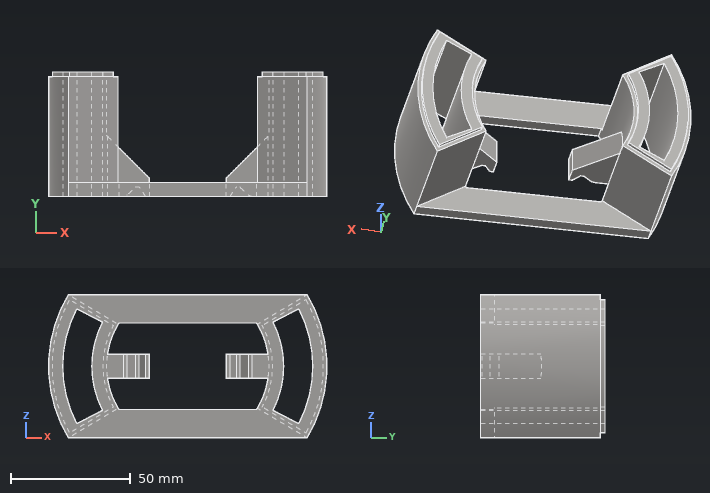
import cadquery as cq
import math

plate_height = 59.72
plate_thickness = 6.0
tower_length = 50.0
lip_length = 2.0
lip_inset = 1.5

outer_radius = 58.0
outer_wall = 6.0
slot_outer_radius = outer_radius - outer_wall
slot_inner_radius = 40.0
opening_radius = 33.8

tower_half_angle = math.degrees(math.asin(plate_height / 2 / outer_radius))
slot_half_angle = 27.3

opening_height = 36.0

hook_width = 10.2
hook_tip_x = 16.0
hook_tip_depth = 7.75
hook_flat = 1.5
notch_tip_x = hook_tip_x + hook_flat
notch_floor_x = 20.2
notch_depth = 4.0
notch_edge_x = 25.3
notch_edge_depth = 0.6
hook_root_x = (opening_radius + slot_inner_radius) / 2


def extrude_along_y(sketch, start, length):
    """Extrude an XZ outline towards +Y from y = start."""
    return sketch.extrude(-length).translate((0, start, 0))


def sector(inner, outer, half_angle):
    """Ring sector on the +X side, symmetric about Z = 0, with radial ends."""
    angle = math.radians(half_angle)
    cos_a = math.cos(angle)
    sin_a = math.sin(angle)
    return (
        cq.Workplane("XZ")
        .moveTo(inner * cos_a, -inner * sin_a)
        .lineTo(outer * cos_a, -outer * sin_a)
        .threePointArc((outer, 0), (outer * cos_a, outer * sin_a))
        .lineTo(inner * cos_a, inner * sin_a)
        .threePointArc((inner, 0), (inner * cos_a, -inner * sin_a))
        .close()
    )


def round_ended_block(radius, height, length):
    """Block with flats above and below and ends curved about the Y axis."""
    half_height = height / 2
    half_flat = math.sqrt(radius**2 - half_height**2)
    outline = (
        cq.Workplane("XZ")
        .moveTo(-half_flat, -half_height)
        .lineTo(half_flat, -half_height)
        .threePointArc((radius, 0), (half_flat, half_height))
        .lineTo(-half_flat, half_height)
        .threePointArc((-radius, 0), (-half_flat, -half_height))
        .close()
    )
    return extrude_along_y(outline, 0, length)


def make_plate():
    plate = round_ended_block(outer_radius, plate_height, plate_thickness)
    opening = round_ended_block(opening_radius, opening_height, plate_thickness)
    return plate.cut(opening)


def make_tower():
    """Tower on the +X side with the inset lip on its far end."""
    body = extrude_along_y(
        sector(opening_radius, outer_radius, tower_half_angle),
        plate_thickness,
        tower_length - plate_thickness,
    )
    lip_outline = sector(opening_radius, outer_radius, tower_half_angle).offset2D(-lip_inset)
    lip = extrude_along_y(lip_outline, tower_length, lip_length)
    return body.union(lip)


def make_slot():
    """Curved slot running the whole length of the +X tower."""
    outline = sector(slot_inner_radius, slot_outer_radius, slot_half_angle)
    return extrude_along_y(outline, 0, tower_length + lip_length)


def make_hook():
    """Notched hook on the +X side, its back sloping at 45 degrees into the tower."""
    root_depth = hook_tip_depth + hook_root_x - hook_tip_x
    profile = [
        (hook_root_x, 0),
        (notch_edge_x + hook_flat, 0),
        (notch_edge_x, notch_edge_depth),
        (notch_floor_x + hook_flat, notch_depth),
        (notch_floor_x, notch_depth),
        (notch_tip_x, 0),
        (hook_tip_x, 0),
        (hook_tip_x, hook_tip_depth),
        (hook_root_x, root_depth),
    ]
    return cq.Workplane("XY").polyline(profile).close().extrude(hook_width / 2, both=True)


def add_both_sides(body, feature):
    """Join a +X side feature and its mirror image to the body."""
    return body.union(feature).union(feature.mirror("YZ"))


def cut_both_sides(body, feature):
    """Cut a +X side feature and its mirror image from the body."""
    return body.cut(feature).cut(feature.mirror("YZ"))


result = make_plate()
result = add_both_sides(result, make_tower())
result = add_both_sides(result, make_hook())
result = cut_both_sides(result, make_slot())